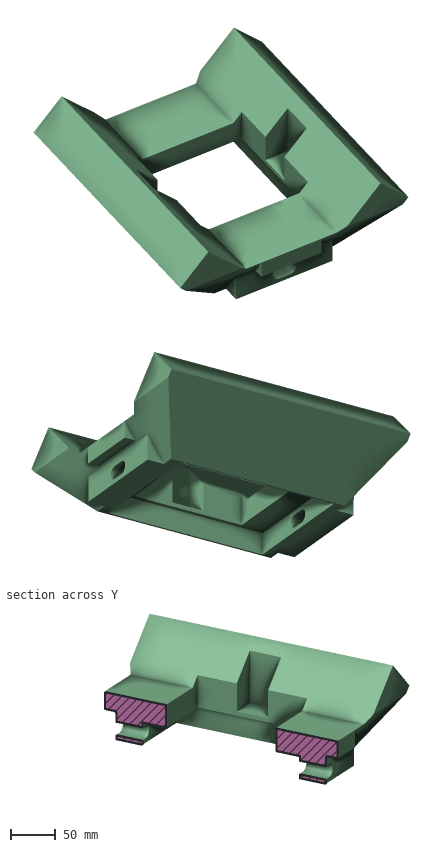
import cadquery as cq
import math

length = 314.96
width = 300.35
height = 108.1
plate_thickness = 52.2
floor_top = 54.4

end_angle = 34.0
base_half_length = 114.3

opening_side = 141.8
notch_width = 40.64
notch_half_span = 100.3
notch_floor = 31.75

hollow_length = 203.2
hollow_width = 152.4
hollow_depth = 26.7

upper_pad_width = 79.0
upper_pad_bottom = 33.6
lower_pad_width = 127.0
lower_pad_top = 31.75

slot_length = 30.5
slot_height = 15.9
slot_center = 13.2

end_slope = math.tan(math.radians(end_angle))
plate_edge_run = plate_thickness / math.sqrt(2)
outer_edge_z = height - plate_edge_run
rim_half_width = width / 2 - plate_edge_run
base_half_width = width / 2 - outer_edge_z
floor_half_width = rim_half_width - (height - floor_top)


def end_reach(z):
    """Half length of the sloping ends at height z."""
    return base_half_length + z * end_slope


def make_trough():
    right_half = [
        (base_half_width, 0),
        (width / 2, outer_edge_z),
        (rim_half_width, height),
        (floor_half_width, floor_top),
    ]
    left_half = [(-y, z) for y, z in reversed(right_half)]
    trough = (
        cq.Workplane("YZ")
        .polyline(right_half + left_half)
        .close()
        .extrude(length / 2, both=True)
    )
    slope_end_z = (length / 2 - base_half_length) / end_slope
    side_envelope = (
        cq.Workplane("XZ")
        .polyline([
            (-base_half_length, 0),
            (base_half_length, 0),
            (length / 2, slope_end_z),
            (length / 2, height),
            (-length / 2, height),
            (-length / 2, slope_end_z),
        ])
        .close()
        .extrude(width / 2, both=True)
    )
    return trough.intersect(side_envelope)


def make_pads(pad_width, bottom, top):
    """Block spanning both ends, its end faces meeting the slopes at its top edge."""
    return cq.Workplane("XY", origin=(0, 0, bottom)).box(
        2 * end_reach(top), pad_width, top - bottom, centered=(True, True, False)
    )


def make_opening():
    return cq.Workplane("XY").box(
        opening_side, opening_side, height, centered=(True, True, False)
    )


def make_hollow():
    return cq.Workplane("XY").box(
        hollow_length, hollow_width, hollow_depth, centered=(True, True, False)
    )


def make_notches():
    """One block reaching across the opening cuts the notch in both plates."""
    return cq.Workplane("XY", origin=(0, 0, notch_floor)).box(
        notch_width, 2 * notch_half_span, height - notch_floor, centered=(True, True, False)
    )


def make_slot():
    return (
        cq.Workplane("YZ")
        .center(0, slot_center)
        .slot2D(slot_length, slot_height)
        .extrude(length / 2, both=True)
    )


result = (
    make_trough()
    .union(make_pads(upper_pad_width, upper_pad_bottom, floor_top))
    .union(make_pads(lower_pad_width, 0, lower_pad_top))
    .cut(make_opening())
    .cut(make_hollow())
    .cut(make_notches())
    .cut(make_slot())
)